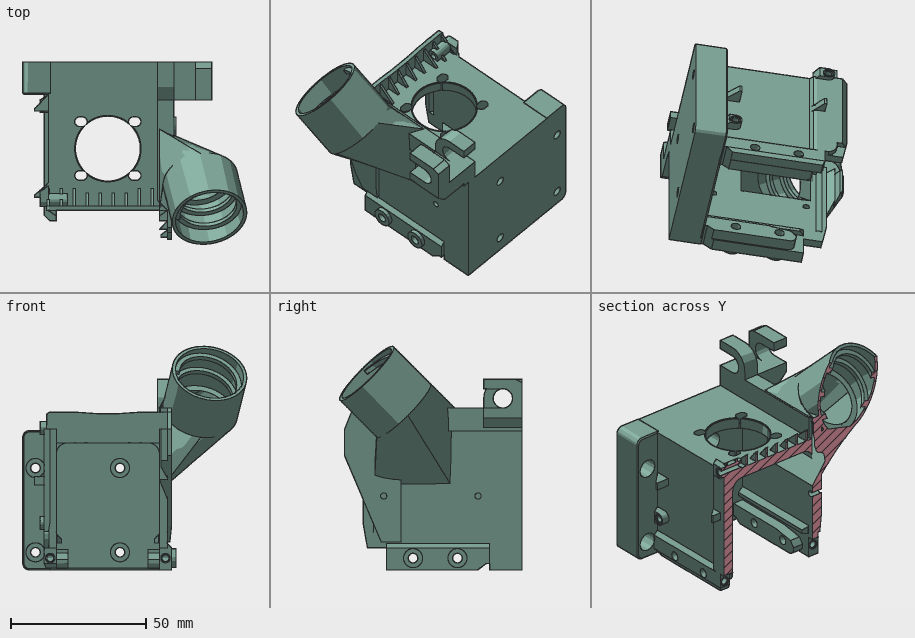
import cadquery as cq
import math


left_outer = 7.95
right_outer = 55.1
panel_left = 9.5
wall_inner_left = 12.4
wall_inner_right = 50.5
mid_x = (wall_inner_left + wall_inner_right) / 2
back_thickness = 12.0
roof_z = 51.35
ceiling_z = 47.0
ceiling_radius = 4.15
body_depth = 53.2
sill_z = 8.2
sill_slope = 1.6
sill_depth = 50.1
sill_bottom = 0.7
sill_chamfer_width = 0.75
sill_chamfer_top = 2.4
sill_ramp = (13.2, 16.3)
post_bevel = ((44.65, panel_left), (45.9, 8.3), (47.2, left_outer))
post_depth = 58.7
post_chamfer = 2.1
door_groove_width = 2.15
door_groove_reach = 3.0
door_groove_bottom = 14.1
post_top = 52.0
post_bend_z = 17.15
post_toe_depth = 57.15
post_heel_x = 9.7
post_heel_top = 14.25
post_heel_depths = (54.7, 54.0, 51.6)
post_heel_mid_z = 10.3
ledge_width = 1.9
ledge_bottom = 10.0
ledge_edge = 1.4
ledge_taper = 1.65

flange_height = 51.5
flange_radius = 2.5
flange_chamfer = 0.5
screw_x = (4.7, 35.95)
screw_z = (6.55, 37.7)
screw_hole = 3.5
screw_head = 7.0
screw_head_depth = 8.3

fan_depth = 32.05
fan_hole = 24.6
fan_chamfer = 0.3
fan_pitch = 19.9
fan_slot_length = 4.55
fan_slot_width = 3.5

plate_left = 8.9
plate_right = 53.5
plate_depth = 54.8
plate_top = 58.3
plate_radius = 1.25
dip_half = 11.3
dip = 0.6
gusset_pitch = 4.8
gusset_count = 9
short_gussets = range(3, 7)
gusset_width = 0.9
gusset_height = 5.6
gusset_long = 6.3
gusset_short = 4.6

rail_left = 49.8
rail_right = 55.9
rail_top = 59.9
rail_step_depth = 29.0
rail_chamfer = 3.7
clip_depth = 65.6
clip_slope_start = (post_depth, 26.1)
clip_outline = (
    (61.1, rail_top),
    (63.0, 58.4),
    (clip_depth, post_top),
    (clip_depth, 42.25),
    clip_slope_start,
    (post_depth, post_bend_z),
    (post_toe_depth, sill_z),
    (post_bevel[0][0], sill_z),
    (post_bevel[0][0], rail_top),
)
first_tooth = ((plate_right, post_depth), (wall_inner_right, 61.9), (plate_right, 61.9))
second_tooth = ((plate_right, 62.0), (51.0, 63.95), (51.0, 64.85), (plate_right, 64.85))
plate_start = post_bevel[0][0]
plate_foot_z = 10.35
plate_foot_depth = 52.0
plate_foot_x = 54.4
plate_taper_z = 16.6

hook_width = 6.1
hook_far_right = 69.9
hook_depth = 14.2
hook_bore = 7.0
hook_axis_depth = hook_depth / 2
hook_axis_z = rail_top + hook_bore / 2
hook_top = hook_axis_z + hook_depth / 2
bracket_z = 52.6
bracket_chamfer = 3.5
hook_back_chamfer = (2.5, 1.25)

side_left = 6.5
side_bore = 2.5
side_bore_rim = 3.7
side_boss = 4.8
rim_depth = 0.4
upper_boss = (51.1, 52.5)
lower_boss = (16.2, 17.4)
upper_boss_right = 16.6
upper_web_start = 45.8
hook_clip_left = 4.3
hook_clip_z = (31.5, 34.45)
hook_clips = ((back_thickness, 18.2), (44.7, 50.1))
boss_slope = 2.1
pivot_depths = (23.85, 40.25)
pivot_z = 4.4
pivot_hole = 3.5
pivot_boss = 7.0
pivot_boss_right = 56.65
tab_width = 4.3
tab_top = 7.6
tab_bottom = 0.6
tab_nose = ((36.2, tab_top), (44.7, 6.2), (46.55, 3.9), (46.55, 3.3))
tab_heel_radius = 2.65
wall_hole = 2.3
wall_hole_z = 27.3
nut_hole = 2.6
nut_rim = 3.5
nut_depth = 9.9

tube_outer = 28.0
tube_mouth = 25.5
thread_crest = 22.0
duct_bore = 20.7
tube_length = 19.6
thread_start = 1.65
thread_pitch = 7.45
thread_turns = 2
thread_width = 1.65
tube_tilt = math.radians(10)
tube_rise = math.radians(45)
mouth_centre = cq.Vector(69.05, -57.4, 72.65)
duct_outer_depths = (24.85, 54.7)
duct_outer_z = (29.15, rail_top)
duct_inner_depths = (26.5, 52.7)
duct_inner_z = (31.15, 58.2)


def block(xs, depths, zs):
    """Box between pairs of X, depth and Z values."""
    size = (xs[1] - xs[0], depths[1] - depths[0], zs[1] - zs[0])
    return cq.Workplane().box(*size, centered=False).translate((xs[0], -depths[1], zs[0]))


def side_profile(points, xs):
    """Prism along X from (depth, Z) points."""
    outline = [(-depth, z) for depth, z in points]
    return cq.Workplane("YZ", origin=(xs[0], 0, 0)).polyline(outline).close().extrude(xs[1] - xs[0])


def plan_profile(points, zs):
    """Prism along Z from (X, depth) points."""
    outline = [(x, -depth) for x, depth in points]
    return cq.Workplane("XY", origin=(0, 0, zs[0])).polyline(outline).close().extrude(zs[1] - zs[0])


def front_profile(points, depths):
    """Prism along Y from (X, Z) points."""
    sketch = cq.Workplane("XZ", origin=(0, -depths[0], 0)).polyline(points).close()
    return sketch.extrude(depths[1] - depths[0])


def rod_x(diameter, depth, z, xs):
    """Cylinder along X."""
    return cq.Workplane("YZ", origin=(xs[0], -depth, z)).circle(diameter / 2).extrude(xs[1] - xs[0])


def mirrored(shape):
    """The shape together with its copy on the other side of the housing."""
    return shape.union(shape.mirror("YZ", (mid_x, 0, 0)))


def make_flange():
    """Mounting flange on the left, rounded at its outer corners."""
    flange = block((0, panel_left + 0.8), (0, back_thickness), (0, flange_height))
    flange = flange.edges("|Y and <X").fillet(flange_radius)
    return flange.faces("<Y").edges("<X or <Z or >Z").chamfer(flange_chamfer)


def make_housing():
    """Back wall, roof and two side walls as one open-fronted box."""
    shell = block((panel_left, plate_right), (0, body_depth), (0, roof_z))
    cavity = block((wall_inner_left, wall_inner_right), (back_thickness, body_depth), (0, ceiling_z))
    cavity = cavity.edges("|Y and >Z").fillet(ceiling_radius)
    below_posts = block((0, right_outer), (sill_depth, body_depth), (0, sill_z))
    below_sill = block((0, wall_inner_left), (back_thickness, body_depth), (0, sill_z))
    back_edge = side_profile(
        [
            (back_thickness - sill_bottom, 0),
            (back_thickness, 0),
            (back_thickness, sill_bottom),
        ],
        (panel_left, wall_inner_right),
    )
    return shell.cut(cavity).cut(below_posts).cut(below_sill).cut(back_edge)


def make_left_sill():
    """Thickened foot of the left wall, bevelled along its outer and front lower edges."""
    sill = front_profile(
        [
            (left_outer + sill_chamfer_width, sill_bottom),
            (left_outer, sill_chamfer_top),
            (left_outer, sill_z),
            (panel_left, sill_z + sill_slope),
            (wall_inner_left, sill_z + sill_slope),
            (wall_inner_left, sill_bottom),
        ],
        (back_thickness, sill_depth),
    )
    outline = side_profile(
        [
            (back_thickness, sill_bottom),
            (sill_depth - sill_chamfer_width, sill_bottom),
            (sill_depth, sill_chamfer_top),
            (sill_depth, sill_z + sill_slope),
            (back_thickness, sill_z + sill_slope),
        ],
        (left_outer, wall_inner_left),
    )
    return sill.intersect(outline)


def make_right_sill():
    """Thickened foot of the right wall."""
    return front_profile(
        [
            (wall_inner_right, 0),
            (right_outer, 0),
            (right_outer, sill_z),
            (plate_right, sill_z + sill_slope),
            (wall_inner_right, sill_z + sill_slope),
        ],
        (back_thickness, sill_depth),
    )


def make_post():
    """Left front post: bevelled corners, a foot that slopes back and a rounded outer heel."""
    rear = [(x, depth) for depth, x in post_bevel]
    post = plan_profile(
        rear
        + [
            (left_outer, post_depth - post_chamfer),
            (left_outer + post_chamfer, post_depth),
            (wall_inner_left, post_depth),
            (wall_inner_left, post_bevel[0][0]),
        ],
        (sill_z, post_top),
    )
    foot_relief = side_profile(
        [(post_depth, post_bend_z), (post_depth, sill_z), (post_toe_depth, sill_z)],
        (left_outer, wall_inner_left),
    )
    top, middle, bottom = post_heel_depths
    heel_relief = (
        cq.Workplane("YZ", origin=(left_outer, 0, 0))
        .moveTo(-post_depth, post_heel_top)
        .lineTo(-top, post_heel_top)
        .threePointArc((-middle, post_heel_mid_z), (-bottom, sill_z))
        .lineTo(-post_depth, sill_z)
        .close()
        .extrude(post_heel_x - left_outer)
    )
    root_relief = block((left_outer, wall_inner_left), (0, body_depth), (roof_z, post_top))
    return post.cut(foot_relief).cut(heel_relief).cut(root_relief)


def cut_door_grooves(body):
    """Upright wedge-shaped grooves in the posts, just ahead of the front plate."""
    groove = plan_profile(
        [
            (wall_inner_left, plate_depth),
            (wall_inner_left - door_groove_reach, plate_depth),
            (wall_inner_left, plate_depth + door_groove_width),
        ],
        (door_groove_bottom, post_top),
    )
    return body.cut(mirrored(groove))


def make_ledge():
    """Sloped rib along the inside of the left wall, tapered at its front end."""
    tip_x = wall_inner_left + ledge_width
    ledge = front_profile(
        [
            (wall_inner_left, ledge_bottom),
            (tip_x, ledge_bottom),
            (tip_x, ledge_bottom + ledge_edge),
            (wall_inner_left, ledge_bottom + ledge_edge + ledge_width),
        ],
        (back_thickness, sill_depth),
    )
    return ledge.faces("<Y").edges(">X").chamfer(ledge_taper)


def make_front_plate():
    """Plate above the front opening, its top edge dipping in the middle."""
    plate = (
        cq.Workplane("XZ", origin=(0, -body_depth, 0))
        .moveTo(plate_left, ceiling_z)
        .lineTo(plate_right, ceiling_z)
        .lineTo(plate_right, plate_top)
        .lineTo(mid_x + dip_half, plate_top)
        .threePointArc((mid_x, plate_top - dip), (mid_x - dip_half, plate_top))
        .lineTo(plate_left, plate_top)
        .close()
        .extrude(plate_depth - body_depth)
        .edges("|Y and <X and >Z")
        .fillet(plate_radius)
    )
    opening = block((wall_inner_left, wall_inner_right), (body_depth, plate_depth), (0, ceiling_z))
    return plate.cut(opening)


def make_gussets():
    """Ribs behind the front plate; the four around the middle are shorter."""
    ribs = cq.Workplane()
    for index in range(gusset_count):
        length = gusset_short if index in short_gussets else gusset_long
        x = panel_left + index * gusset_pitch
        ribs = ribs.union(
            side_profile(
                [
                    (body_depth - length, roof_z),
                    (body_depth, roof_z),
                    (body_depth, roof_z + gusset_height),
                ],
                (x - gusset_width / 2, x + gusset_width / 2),
            )
        )
    return ribs


def make_rail():
    """Raised strip along the right edge of the roof."""
    return plan_profile(
        [
            (rail_left, 0),
            (rail_right, 0),
            (rail_right, rail_step_depth),
            (right_outer, rail_step_depth),
            (right_outer, plate_depth),
            (rail_left + rail_chamfer, plate_depth),
            (rail_left, plate_depth - rail_chamfer),
        ],
        (roof_z, rail_top),
    )


def make_clip_plate():
    """Right front post with a thin plate ahead of it that carries two upright saw teeth."""
    post = block((wall_inner_right, right_outer), (body_depth, post_depth), (sill_z, post_top))
    plate = block((plate_right, right_outer), (plate_start, clip_depth), (sill_z, rail_top))
    for tooth in (first_tooth, second_tooth):
        plate = plate.union(plan_profile(tooth, (sill_z, post_top)))
    solid = side_profile(clip_outline, (wall_inner_right, right_outer)).intersect(post.union(plate))
    foot_relief = front_profile(
        [
            (right_outer, plate_taper_z),
            (plate_foot_x, plate_foot_z),
            (plate_right, plate_foot_z),
            (plate_right, sill_z),
            (right_outer, sill_z),
        ],
        (plate_start, clip_depth),
    )
    slope_relief = side_profile(
        [
            clip_slope_start,
            (plate_foot_depth, plate_foot_z),
            (post_depth, plate_foot_z),
        ],
        (plate_right, right_outer),
    )
    return solid.cut(foot_relief).cut(slope_relief)


def make_bracket():
    """Bracket running out to the right that carries the far hook."""
    return front_profile(
        [
            (rail_left, rail_top),
            (hook_far_right, rail_top),
            (hook_far_right, bracket_z + bracket_chamfer),
            (hook_far_right - bracket_chamfer, bracket_z),
            (rail_left, bracket_z),
        ],
        (0, hook_depth),
    )


def make_near_hook():
    """Hook with a rounded front; its throat opens towards the back."""
    diagonal = hook_depth / 2 * math.sqrt(0.5)
    bore = hook_bore / 2
    return (
        cq.Workplane("YZ", origin=(rail_left, 0, 0))
        .moveTo(0, hook_top)
        .lineTo(-hook_axis_depth, hook_top)
        .threePointArc(
            (-hook_axis_depth - diagonal, hook_axis_z + diagonal), (-hook_depth, hook_axis_z)
        )
        .lineTo(-hook_depth, rail_top)
        .lineTo(-hook_axis_depth, rail_top)
        .threePointArc((-hook_axis_depth - bore, hook_axis_z), (-hook_axis_depth, hook_axis_z + bore))
        .lineTo(0, hook_axis_z + bore)
        .close()
        .extrude(hook_width)
    )


def make_far_hook():
    """Hook with a square back; its throat opens towards the front."""
    xs = (hook_far_right - hook_width, hook_far_right)
    slope_length, slope_drop = hook_back_chamfer
    hook = side_profile(
        [
            (0, rail_top),
            (hook_depth, rail_top),
            (hook_depth, hook_top),
            (slope_length, hook_top),
            (0, hook_top - slope_drop),
        ],
        xs,
    )
    throat = block(xs, (hook_axis_depth, hook_depth), (rail_top, rail_top + hook_bore))
    return hook.cut(throat).cut(rod_x(hook_bore, hook_axis_depth, hook_axis_z, xs))


def make_boss(depth, z, root_depth, end_x):
    """Screw boss on the left side, joined to the wall behind it by a sloping web."""
    web = plan_profile(
        [
            (panel_left, root_depth),
            (side_left, root_depth + boss_slope),
            (side_left, depth),
            (panel_left, depth),
        ],
        (z - side_boss / 2, z + side_boss / 2),
    )
    return web.union(rod_x(side_boss, depth, z, (side_left, end_x)))


def make_side_hardware():
    """Screw bosses and snap hooks on the left side."""
    parts = make_boss(*upper_boss, upper_web_start, upper_boss_right)
    parts = parts.union(make_boss(*lower_boss, back_thickness, panel_left))
    for start, end in hook_clips:
        parts = parts.union(
            plan_profile(
                [(panel_left, start), (hook_clip_left, end - 0.8), (hook_clip_left, end), (panel_left, end)],
                hook_clip_z,
            )
        )
    return parts


def make_pivot_tab():
    """Bar inside the left sill around both pivot holes, with a sloping nose."""
    nose_tip = tab_nose[-1][0]
    tab = side_profile(
        [
            (back_thickness, tab_bottom),
            (back_thickness, tab_top),
            *tab_nose,
            (nose_tip, tab_bottom),
        ],
        (wall_inner_left, wall_inner_left + tab_width),
    )
    return tab.edges("|X and <Y and <Z").fillet(tab_heel_radius)


def tube_plane(distance):
    """Plane across the hose socket, facing out, at a distance back from its mouth."""
    axis = cq.Vector(
        math.sin(tube_tilt),
        -math.cos(tube_tilt) * math.cos(tube_rise),
        math.cos(tube_tilt) * math.sin(tube_rise),
    )
    return cq.Plane(origin=mouth_centre - axis * distance, xDir=(0, 1, 1), normal=axis)


def tube_disc(diameter, start, length):
    """Cylinder on the socket axis, running back from a distance below the mouth."""
    return cq.Workplane(tube_plane(start)).circle(diameter / 2).extrude(-length)


def make_duct(diameter, depths, zs):
    """Transition from an upright rectangle at the right wall to the round socket."""
    x = wall_inner_right
    low, high = zs
    near, far = (-depth for depth in depths)
    corners = [cq.Vector(x, y, z) for y, z in ((near, low), (far, low), (far, high), (near, high))]
    rectangle = cq.Wire.makePolygon(corners, close=True)
    round_end = cq.Workplane(tube_plane(tube_length)).circle(diameter / 2).wires().val()
    return cq.Workplane(cq.Solid.makeLoft([rectangle, round_end], True))


def make_thread():
    """Right-handed helical ridge inside the socket, running inwards from its left side."""
    outward = tube_plane(thread_start)
    crest = thread_crest / 2
    root = (tube_mouth + tube_outer) / 4
    helix = cq.Wire.makeHelix(thread_pitch, thread_pitch * thread_turns, crest)
    section = cq.Workplane("XZ").center((crest + root) / 2, 0).rect(root - crest, thread_width)
    ridge = section.sweep(cq.Workplane(helix), isFrenet=True).val()
    start = cq.Plane(outward.origin, xDir=(-1, 0, 0), normal=-outward.zDir)
    return cq.Workplane(ridge.moved(cq.Location(start)))


def cut_tube_bore(body):
    """Threaded bore of the hose socket, opening into the duct."""
    bore = tube_disc(tube_mouth, 0, tube_length).cut(make_thread())
    return body.cut(bore).cut(make_duct(duct_bore, duct_inner_depths, duct_inner_z))


def cut_flange_screws(body):
    """Screw holes through the back wall and flange, with head recesses from the front."""
    for x in screw_x:
        for z in screw_z:
            start = cq.Workplane("XZ", origin=(x, 0, z))
            hole = start.circle(screw_hole / 2).extrude(back_thickness)
            head = start.workplane(offset=back_thickness - screw_head_depth)
            head = head.circle(screw_head / 2).extrude(screw_head_depth)
            body = body.cut(hole).cut(head)
    return body


def cut_fan_opening(body):
    """Round fan opening with a stepped rim and four slotted screw holes."""
    roof = cq.Workplane("XY", origin=(mid_x, -fan_depth, ceiling_z))
    thickness = roof_z - ceiling_z
    opening = roof.circle(fan_hole / 2 - fan_chamfer).extrude(thickness)
    rim = roof.workplane(offset=thickness - fan_chamfer).circle(fan_hole / 2).extrude(fan_chamfer)
    slots = roof.rect(fan_pitch, fan_pitch, forConstruction=True).vertices()
    slots = slots.slot2D(fan_slot_length, fan_slot_width).extrude(thickness)
    return body.cut(opening).cut(rim).cut(slots)


def cut_sill_ramp(body):
    """Sloped rear ends under both sills."""
    ramp = side_profile(
        [
            (back_thickness, 0),
            (back_thickness, sill_chamfer_top),
            (sill_ramp[0], sill_chamfer_top),
            (sill_ramp[1], 0),
        ],
        (left_outer, right_outer),
    )
    return body.cut(ramp)


def cut_side_holes(body):
    """Pivot holes across the sills, boss bores, wall holes and the nut holes in the sill fronts."""
    for depth in pivot_depths:
        body = body.cut(rod_x(pivot_hole, depth, pivot_z, (left_outer, pivot_boss_right)))
    for (depth, z), end in ((upper_boss, upper_boss_right), (lower_boss, panel_left)):
        body = body.cut(rod_x(side_bore, depth, z, (side_left, end)))
        body = body.cut(rod_x(side_bore_rim, depth, z, (side_left, side_left + rim_depth)))
    for depth in (lower_boss[0], upper_boss[0]):
        body = body.cut(rod_x(wall_hole, depth, wall_hole_z, (wall_inner_right, right_outer)))
    sill_mid = (left_outer + wall_inner_left) / 2
    front = cq.Workplane("XZ", origin=(sill_mid, -sill_depth, pivot_z))
    hole = front.circle(nut_hole / 2).extrude(-nut_depth)
    hole = hole.union(front.circle(nut_rim / 2).extrude(-rim_depth))
    return body.cut(mirrored(hole))


result = make_housing()
for piece in (
    make_flange(),
    make_left_sill(),
    make_right_sill(),
    make_post(),
    mirrored(make_ledge()),
    mirrored(make_pivot_tab()),
    make_front_plate(),
    make_gussets(),
    make_rail(),
    make_clip_plate(),
    make_bracket(),
    make_near_hook(),
    make_far_hook(),
    make_side_hardware(),
    make_duct(tube_outer, duct_outer_depths, duct_outer_z),
    tube_disc(tube_outer, 0, tube_length),
):
    result = result.union(piece)
for pivot_depth in pivot_depths:
    result = result.union(rod_x(pivot_boss, pivot_depth, pivot_z, (right_outer, pivot_boss_right)))
result = cut_door_grooves(result)
result = cut_sill_ramp(result)
result = cut_tube_bore(result)
result = cut_flange_screws(result)
result = cut_fan_opening(result)
result = cut_side_holes(result)